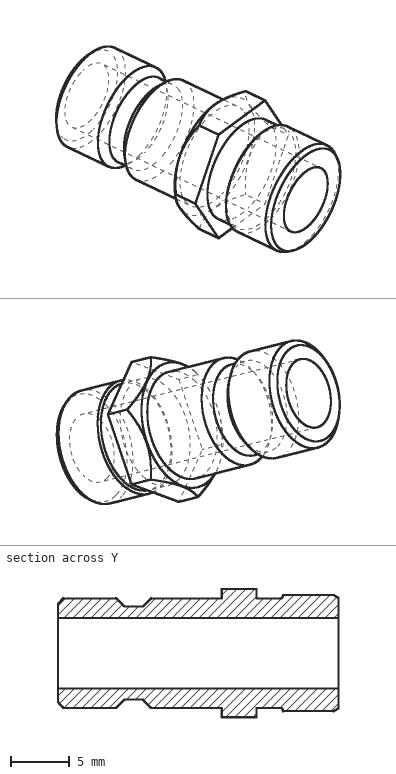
import cadquery as cq
import math

total_length = 24.0
plug_collar_end = 5.0
groove_end = 7.97
hex_start = 14.0
hex_end = 17.0
thread_start = 19.13

bore_radius = 3.0
plug_tip_radius = 4.2
body_radius = 4.7
groove_radius = 4.0
neck_radius = body_radius
thread_radius = 5.0
thread_tip_radius = 4.73

plug_chamfer = 0.45
thread_root_chamfer = 0.12
thread_end_chamfer = 0.43

groove_depth = body_radius - groove_radius

hex_across_flats = 11.0
hex_corner_radius = hex_across_flats / math.sqrt(3)
hex_chamfer_radius = 5.47
hex_chamfer = hex_corner_radius - hex_chamfer_radius


def revolve_about_x(outline):
    """Solid of revolution about X from a closed (x, radius) outline."""
    return cq.Workplane("XY").polyline(outline).close().revolve(360, (0, 0, 0), (1, 0, 0))


def turned_body():
    """Grooved plug, neck and plain thread envelope, without the bore."""
    return revolve_about_x([
        (0, 0),
        (0, plug_tip_radius),
        (plug_chamfer, body_radius),
        (plug_collar_end, body_radius),
        (plug_collar_end + groove_depth, groove_radius),
        (groove_end - groove_depth, groove_radius),
        (groove_end, body_radius),
        (hex_end, neck_radius),
        (thread_start, neck_radius),
        (thread_start + thread_root_chamfer, thread_radius),
        (total_length - thread_end_chamfer, thread_radius),
        (total_length, thread_tip_radius),
        (total_length, 0),
    ])


def hex_collar():
    """Hexagon with corners on +Y and -Y, its corners chamfered on the plug side."""
    prism = (
        cq.Workplane("YZ", origin=(hex_start, 0, 0))
        .polygon(6, 2 * hex_corner_radius)
        .extrude(hex_end - hex_start)
    )
    chamfer_envelope = revolve_about_x([
        (hex_start, 0),
        (hex_start, hex_chamfer_radius),
        (hex_start + hex_chamfer, hex_corner_radius),
        (hex_end, hex_corner_radius),
        (hex_end, 0),
    ])
    return prism.intersect(chamfer_envelope)


def bore():
    """Straight through passage along X."""
    return cq.Workplane("YZ").circle(bore_radius).extrude(total_length)


result = turned_body().union(hex_collar()).cut(bore())